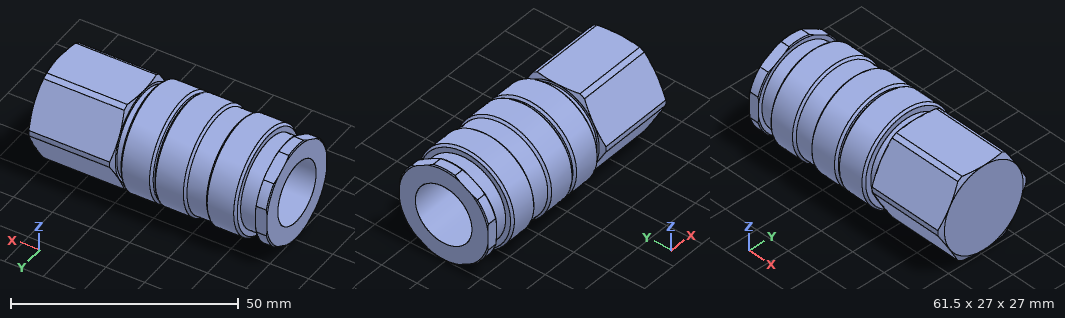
import cadquery as cq
import math

length = 61.5

collar_length = 3.0
collar_diameter = 26.0
collar_across_flats = 24.95
collar_chamfer_length = 0.2
collar_chamfer_depth = 0.35

front_neck_diameter = 23.0
rear_neck_diameter = 22.7
sleeve_diameter = 27.0
groove_diameter = 25.75
sleeve_chamfer_length = 0.55
sleeve_spans = [(7.45, 15.4), (20.4, 28.7), (29.15, 37.45)]

nut_start = 39.5
nut_across_flats = 24.0
nut_diameter = 26.9
nut_chamfer_length = 0.55
nut_chamfer_depth = 1.5

bore_diameter = 16.0
shoulder_diameter = 15.4
seat_diameter = 11.1
bore_depth = 24.6
seat_half_angle = 60.0
tip_half_angle = 70.0
seat_taper_length = (shoulder_diameter - seat_diameter) / 2 / math.tan(math.radians(seat_half_angle))
tip_length = seat_diameter / 2 / math.tan(math.radians(tip_half_angle))


def cylinder(start, end, diameter):
    """Round bar along X between two stations."""
    return cq.Workplane("YZ", origin=(start, 0, 0)).circle(diameter / 2).extrude(end - start)


def revolve_about_x(profile):
    """Solid of revolution from (x, radius) points."""
    return cq.Workplane("XY").polyline(profile).close().revolve(360, (0, 0, 0), (1, 0, 0))


def chamfered_disc(start, end, diameter, chamfer_length, chamfer_depth):
    """Round bar along X with both rims chamfered."""
    radius = diameter / 2
    return revolve_about_x([
        (start, 0),
        (start, radius - chamfer_depth),
        (start + chamfer_length, radius),
        (end - chamfer_length, radius),
        (end, radius - chamfer_depth),
        (end, 0),
    ])


def hexagon_bar(start, end, across_flats, turn):
    """Hexagonal bar along X; at zero turn its corners lie on the Y axis."""
    across_corners = across_flats / math.cos(math.radians(30))
    bar = cq.Workplane("YZ", origin=(start, 0, 0)).polygon(6, across_corners).extrude(end - start)
    return bar.rotate((0, 0, 0), (1, 0, 0), turn)


def make_collar():
    disc = chamfered_disc(0, collar_length, collar_diameter, collar_chamfer_length, collar_chamfer_depth)
    return disc.intersect(hexagon_bar(0, collar_length, collar_across_flats, 30))


def make_body():
    first_sleeve_start = sleeve_spans[0][0]
    last_sleeve_end = sleeve_spans[-1][1]
    body = cylinder(first_sleeve_start, last_sleeve_end, groove_diameter)
    body = body.union(cylinder(collar_length, first_sleeve_start, front_neck_diameter))
    body = body.union(cylinder(last_sleeve_end, nut_start, rear_neck_diameter))
    chamfer_depth = (sleeve_diameter - groove_diameter) / 2
    for start, end in sleeve_spans:
        body = body.union(chamfered_disc(start, end, sleeve_diameter, sleeve_chamfer_length, chamfer_depth))
    return body


def make_nut():
    disc = chamfered_disc(nut_start, length, nut_diameter, nut_chamfer_length, nut_chamfer_depth)
    return disc.intersect(hexagon_bar(nut_start, length, nut_across_flats, 0))


def make_socket():
    seat_end = bore_depth + seat_taper_length
    return revolve_about_x([
        (0, 0),
        (0, bore_diameter / 2),
        (bore_depth, bore_diameter / 2),
        (bore_depth, shoulder_diameter / 2),
        (seat_end, seat_diameter / 2),
        (seat_end + tip_length, 0),
    ])


result = make_collar().union(make_body()).union(make_nut()).cut(make_socket())